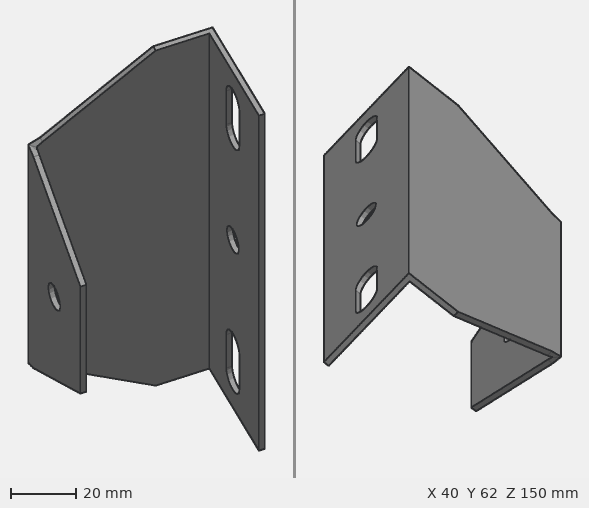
import math

import cadquery as cq

depth = 40.0
width = 62.0
height = 150.0
sheet = 2.0
front_y = -width / 2
back_y = width / 2

cut_slope = math.tan(math.radians(33.0))
top_edge_length = 20.0
bend_zone = 4.0
bend_drop = 1.5

taper_start_y = back_y - top_edge_length
bend_y = front_y + bend_zone
web_bend_z = height / 2 - cut_slope * (taper_start_y - bend_y)
corner_z = web_bend_z - bend_drop
flange_bend_z = corner_z - bend_drop
flange_end_z = flange_bend_z - cut_slope * (depth - bend_zone)

hole_diameter = 9.0
slot_width = 10.0
slot_length = 25.0
slot_spacing = 109.0
hole_x = depth / 2


def symmetric_outline(plane, upper_points):
    """Closed outline from its upper half, mirrored about Z = 0."""
    lower_points = [(u, -z) for u, z in reversed(upper_points)]
    return cq.Workplane(plane).polyline(upper_points + lower_points).close()


def make_web():
    upper_points = [
        (back_y, height / 2),
        (taper_start_y, height / 2),
        (bend_y, web_bend_z),
    ]
    return symmetric_outline("YZ", upper_points).extrude(sheet)


def sheet_section(outer, inner, half_height):
    """Upright rectangle across the sheet thickness, from an outer to an inner XY point."""
    corners = [
        cq.Vector(*outer, -half_height),
        cq.Vector(*inner, -half_height),
        cq.Vector(*inner, half_height),
        cq.Vector(*outer, half_height),
    ]
    return cq.Wire.makePolygon(corners, close=True)


def make_front_bend():
    """Sharp corner whose twisted end faces join the web's cut to the flange's cut."""
    inner_y = front_y + sheet
    sections = [
        sheet_section((0, bend_y), (sheet, bend_y), web_bend_z),
        sheet_section((0, front_y), (sheet, inner_y), corner_z),
        sheet_section((bend_zone, front_y), (bend_zone, inner_y), flange_bend_z),
    ]
    return cq.Workplane(cq.Solid.makeLoft(sections, True))


def make_front_flange():
    upper_points = [
        (bend_zone, flange_bend_z),
        (depth, flange_end_z),
    ]
    return symmetric_outline("XZ", upper_points).extrude(-sheet).translate((0, front_y, 0))


def make_back_flange():
    flange = cq.Workplane("XY").box(depth, sheet, height, centered=(False, False, True))
    return flange.translate((0, back_y - sheet, 0))


def make_center_hole():
    """Cutter for the round hole through both flanges."""
    cutter = cq.Workplane("XZ").center(hole_x, 0).circle(hole_diameter / 2)
    return cutter.extrude(width / 2, both=True)


def make_slots():
    """Cutter for the two upright slots in the back flange."""
    slot_centers = [(hole_x, -slot_spacing / 2), (hole_x, slot_spacing / 2)]
    cutter = cq.Workplane("XZ").pushPoints(slot_centers).slot2D(slot_length, slot_width, 90)
    return cutter.extrude(-sheet).translate((0, back_y - sheet, 0))


front_side = make_web().union(make_front_bend()).union(make_front_flange())
channel = front_side.union(make_back_flange())
result = channel.cut(make_center_hole()).cut(make_slots()).solids()